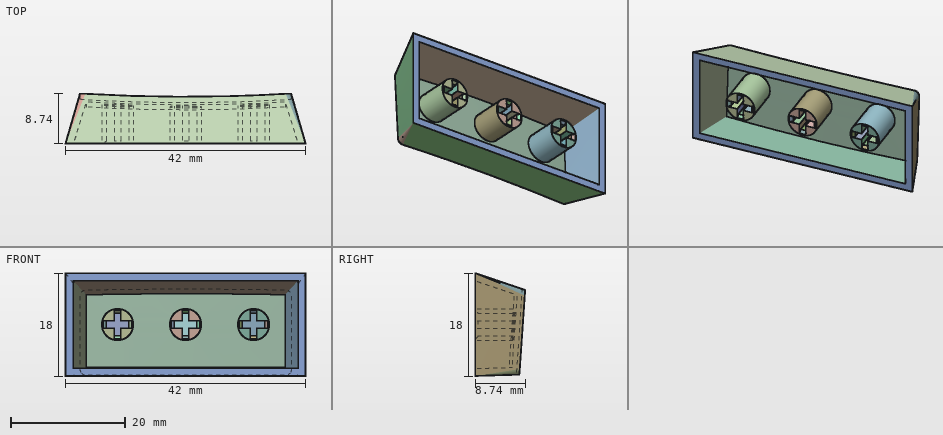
import cadquery as cq
import math

rim_length = 42.0
rim_height = 18.0
crown_length = 36.95
crown_top_z = 6.05
crown_bottom_z = -8.78
crown_top_depth = 8.78
crown_bottom_depth = 7.75
crown_corner_radius = 1.0
rim_corner_radius = 0.01
dish_sag = 0.6

rim_wall = 1.35
floor_length = 34.78
floor_top_z = 5.2
floor_bottom_z = -7.48
floor_top_depth = 7.3
floor_corner_radius = 0.01
crown_slope = (crown_top_depth - crown_bottom_depth) / (crown_top_z - crown_bottom_z)
floor_bottom_depth = floor_top_depth - crown_slope * (floor_top_z - floor_bottom_z)

stem_pitch = 11.9
stem_diameter = 5.5
socket_length = 4.0
socket_arm_width_x = 1.18
socket_arm_width_z = 1.25
socket_chamfer = 0.5


def rounded_rectangle(plane, length, height, radius):
    """Closed wire of a rounded rectangle centred on the plane."""
    outline = cq.Workplane(plane).rect(length, height).val()
    return outline.fillet2D(radius, outline.Vertices())


def dished_block(base_size, base_radius, length, top, bottom, radius):
    """Tapered block from the rim plane to a tilted end face with a cylindrical dish.

    top and bottom are the (depth, z) ends of the tilted face.
    """
    rise = top[1] - bottom[1]
    run = top[0] - bottom[0]
    face_height = math.hypot(rise, run)
    middle = (0, (top[0] + bottom[0]) / 2, (top[1] + bottom[1]) / 2)
    rim_plane = cq.Plane(origin=(0, 0, 0), xDir=(1, 0, 0), normal=(0, -1, 0))
    face_plane = cq.Plane(origin=middle, xDir=(1, 0, 0), normal=(0, -rise, run))
    base_wire = rounded_rectangle(rim_plane, *base_size, base_radius)
    face_wire = rounded_rectangle(face_plane, length, face_height, radius)
    block = cq.Workplane(cq.Solid.makeLoft([base_wire, face_wire], True))

    dish_radius = ((crown_length / 2) ** 2 + dish_sag**2) / (2 * dish_sag)
    axis_offset = math.sqrt(dish_radius**2 - (length / 2) ** 2)
    across = cq.Plane(
        origin=face_plane.toWorldCoords((0, 0, -axis_offset)).toTuple(),
        xDir=(1, 0, 0),
        normal=(0, run, rise),
    )
    dish = cq.Workplane(across).circle(dish_radius).extrude(rim_height, both=True)
    return block.cut(dish)


def stem(x):
    """Round post with a cross-shaped socket, longer than the cavity is deep."""
    post = cq.Workplane("XZ", origin=(x, 0, 0)).circle(stem_diameter / 2).extrude(-crown_top_depth)
    post = post.cut(socket_arm(x, socket_arm_width_z, True))
    return post.cut(socket_arm(x, socket_arm_width_x, False))


def socket_arm(x, width, along_x):
    """One arm of the cross, with its two ends flared at the mouth."""
    half = socket_length / 2
    flare = half + socket_chamfer
    profile = [
        (-flare, 0),
        (flare, 0),
        (half, socket_chamfer),
        (half, crown_top_depth),
        (-half, crown_top_depth),
        (-half, socket_chamfer),
    ]
    arm = cq.Workplane("XY").polyline(profile).close().extrude(width / 2, both=True)
    if not along_x:
        arm = arm.rotate((0, 0, 0), (0, 1, 0), 90)
    return arm.translate((x, 0, 0))


body = dished_block(
    (rim_length, rim_height),
    rim_corner_radius,
    crown_length,
    (crown_top_depth, crown_top_z),
    (crown_bottom_depth, crown_bottom_z),
    crown_corner_radius,
)
cavity = dished_block(
    (rim_length - 2 * rim_wall, rim_height - 2 * rim_wall),
    floor_corner_radius,
    floor_length,
    (floor_top_depth, floor_top_z),
    (floor_bottom_depth, floor_bottom_z),
    floor_corner_radius,
)

for x in (-stem_pitch, 0, stem_pitch):
    cavity = cavity.cut(stem(x))

result = body.cut(cavity)